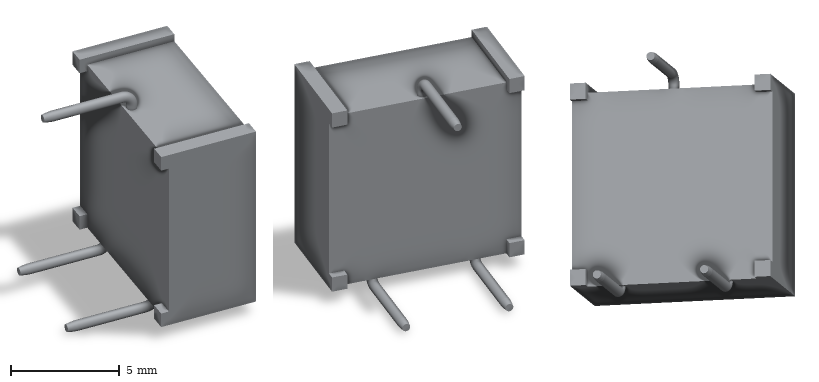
import cadquery as cq

width = 9.53
height = width
depth = 4.84
foot_size = 0.76
foot_length = 0.4
top_recess = 0.4

total_height = 10.67
total_depth = 8.64
pin_radius = 0.26
bend_radius = 0.5
collar_length = 0.22
collar_end_radius = 0.23
tip_length = 0.27
tip_end_radius = 0.19
shank_start = 4.59
lower_pin_offset = 2.55

front_y = foot_length - depth
shank_length = total_depth - shank_start - collar_length - tip_length
pin_axis_z = total_height / 2 - pin_radius
stub_length = pin_axis_z - bend_radius - (height / 2 - top_recess)


def box(size_x, size_y, size_z, centre_x, back_y, centre_z):
    """Box centred in X and Z that reaches from back_y toward -Y."""
    return cq.Workplane("XY").box(size_x, size_y, size_z).translate(
        (centre_x, back_y - size_y / 2, centre_z)
    )


def make_housing():
    block = box(width, -front_y, height, 0, 0, 0)

    foot_offset = (width - foot_size) / 2
    for side_x in (-1, 1):
        for side_z in (-1, 1):
            foot = box(
                foot_size, foot_length, foot_size,
                side_x * foot_offset, front_y, side_z * foot_offset,
            )
            block = block.union(foot)

    recess = box(
        width - 2 * foot_size, -front_y, top_recess,
        0, 0, (height - top_recess) / 2,
    )
    return block.cut(recess)


def make_upper_pin():
    """Pin rising from the top face and bending toward -Y, at X = 0."""
    bend_start_y = bend_radius - shank_start
    bend_start_z = pin_axis_z - bend_radius
    path = (
        cq.Workplane("YZ")
        .moveTo(bend_start_y, bend_start_z - stub_length)
        .lineTo(bend_start_y, bend_start_z)
        .tangentArcPoint((-shank_start, pin_axis_z), relative=False)
        .lineTo(-shank_start - shank_length, pin_axis_z)
    )
    wire = (
        cq.Workplane("XY", origin=(0, bend_start_y, bend_start_z - stub_length))
        .circle(pin_radius)
        .sweep(path)
    )

    collar_y = -shank_start - shank_length
    tip_y = collar_y - collar_length
    end_y = tip_y - tip_length
    nose = (
        cq.Workplane("XY", origin=(0, 0, pin_axis_z))
        .moveTo(0, collar_y)
        .lineTo(pin_radius, collar_y)
        .lineTo(collar_end_radius, tip_y)
        .lineTo(tip_end_radius, end_y)
        .lineTo(0, end_y)
        .close()
        .revolve(360, (0, 0), (0, 1))
    )
    return wire.union(nose)


def make_lower_pin(x):
    """The same pin turned upside down and moved along X."""
    return make_upper_pin().mirror("XY").translate((x, 0, 0))


pins = [make_upper_pin()]
for side in (-1, 1):
    pins.append(make_lower_pin(side * lower_pin_offset))

housing = make_housing()
for pin in pins:
    housing = housing.cut(pin)

result = cq.Compound.makeCompound([housing.val(), *[pin.val() for pin in pins]])